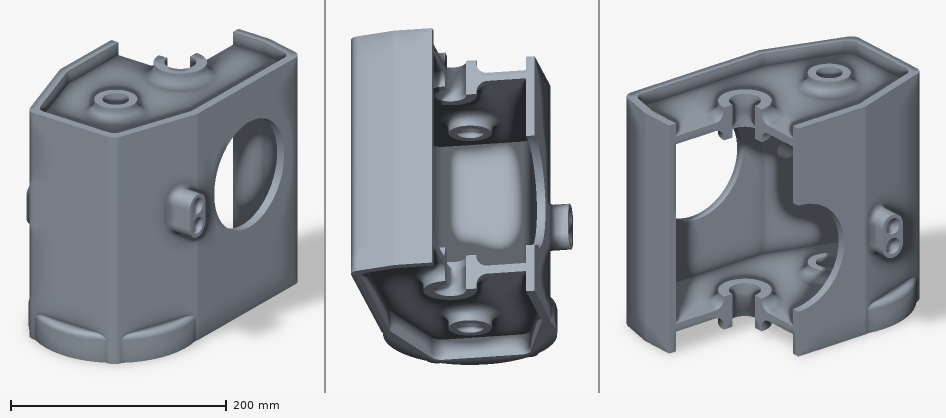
import cadquery as cq

overall_width = 190.0
height = 233.0

half_width = 80.0
wall = 8.0
rear_y = 90.0
rear_flat_half_width = 35.8
rear_shoulder_drop = 10.0
rear_shoulder_y = rear_y - rear_shoulder_drop
front_y = -170.0
front_flat_half_width = 50.0
side_end_y = -80.0
corner_radius = 10.0

plate_thickness = wall
lower_plate_z = 20.0
upper_plate_z = 211.5

boss_length = 33.5
boss_fillet = 10.0
lower_boss_z = 6.0
upper_boss_z = height - boss_length
rear_bore_radius = 15.0
rear_boss_radius = 25.0
front_bore_radius = 12.5
front_boss_radius = 20.0
front_axis_y = -100.0

flange_radius = 81.0
flange_height = lower_plate_z + plate_thickness
flange_fillet = 5.1

left_level = 100.0
right_level = 140.0
window_radius = 54.2
nozzle_radius = 12.0
nozzle_hole_radius = 8.0
nozzle_hole_spacing = 20.0
nozzle_fillet = 4.0


def outline_prism(inset, bottom_z, top_z):
    """Solid with the rounded housing outline, moved inward by inset, between two levels."""
    right_side = [
        (rear_flat_half_width, rear_y),
        (half_width, rear_shoulder_y),
        (half_width, side_end_y),
        (front_flat_half_width, front_y),
    ]
    left_side = [(-x, y) for x, y in reversed(right_side)]
    outline = cq.Workplane("XY").workplane(offset=bottom_z).polyline(right_side + left_side).close()
    if inset > 0:
        outline = outline.offset2D(-inset, "intersection")
    return outline.extrude(top_z - bottom_z).edges("|Z").fillet(corner_radius)


def foot_flange():
    """Round foot with a rounded upper rim."""
    disc = cq.Workplane("XY").center(0, front_axis_y).circle(flange_radius).extrude(flange_height)
    return disc.faces(">Z").edges().fillet(flange_fillet)


def nozzle(side, level):
    """Slot-shaped stub that runs outward from inside the housing; side is -1 or +1."""
    slot_length = nozzle_hole_spacing + 2 * nozzle_radius
    return (
        cq.Workplane("YZ")
        .center(front_axis_y, level)
        .slot2D(slot_length, 2 * nozzle_radius, 90)
        .extrude(side * overall_width / 2)
    )


def nozzle_holes(side, level):
    """Pair of holes through a nozzle into the housing."""
    return (
        cq.Workplane("YZ")
        .center(front_axis_y, level)
        .pushPoints([(0, nozzle_hole_spacing / 2), (0, -nozzle_hole_spacing / 2)])
        .circle(nozzle_hole_radius)
        .extrude(side * overall_width / 2)
    )


def side_window(side, level):
    """Round opening through one side wall."""
    return cq.Workplane("YZ").center(0, level).circle(window_radius).extrude(side * overall_width / 2)


def boss(axis_y, radius, bottom_z, plate_z):
    """Round boss that flares into both faces of a plate."""
    plate_top = plate_z + plate_thickness
    flare = radius + boss_fillet
    top_z = bottom_z + boss_length
    profile = (
        cq.Workplane("XZ")
        .moveTo(0, bottom_z)
        .lineTo(radius, bottom_z)
        .lineTo(radius, plate_z - boss_fillet)
        .radiusArc((flare, plate_z), boss_fillet)
        .lineTo(flare, plate_top)
        .radiusArc((radius, plate_top + boss_fillet), boss_fillet)
        .lineTo(radius, top_z)
        .lineTo(0, top_z)
        .close()
    )
    return profile.revolve(360, (0, 0, 0), (0, 1, 0)).translate((0, axis_y, 0))


def nozzle_root_box(side, level):
    """Box around the edges where a nozzle meets the sloping wall."""
    inner_x = side * front_flat_half_width
    outer_x = side * (overall_width / 2 - nozzle_fillet)
    reach_y = nozzle_radius + nozzle_fillet
    reach_z = nozzle_hole_spacing / 2 + reach_y
    return cq.selectors.BoxSelector(
        (inner_x, front_axis_y - reach_y, level - reach_z),
        (outer_x, front_axis_y + reach_y, level + reach_z),
    )


sides = [(-1, left_level), (1, right_level)]
bores = [(0, rear_boss_radius, rear_bore_radius), (front_axis_y, front_boss_radius, front_bore_radius)]

body = outline_prism(0, 0, height)
for side, level in sides:
    body = body.union(nozzle(side, level))
    root_loop = body.edges(nozzle_root_box(side, level)).edges("not |X")
    body = root_loop.fillet(nozzle_fillet)
body = body.union(foot_flange())

chambers = [
    (0, lower_plate_z),
    (lower_plate_z + plate_thickness, upper_plate_z),
    (upper_plate_z + plate_thickness, height),
]
for bottom_z, top_z in chambers:
    body = body.cut(outline_prism(wall, bottom_z, top_z))

for axis_y, boss_radius, bore_radius in bores:
    body = body.union(boss(axis_y, boss_radius, lower_boss_z, lower_plate_z))
    body = body.union(boss(axis_y, boss_radius, upper_boss_z, upper_plate_z))
    body = body.cut(cq.Workplane("XY").center(0, axis_y).circle(bore_radius).extrude(height))

for side, level in sides:
    body = body.cut(side_window(side, level))
    body = body.cut(nozzle_holes(side, level))

quarter = cq.Workplane("XY").rect(-half_width, rear_y, centered=False).extrude(height)
result = body.cut(quarter)